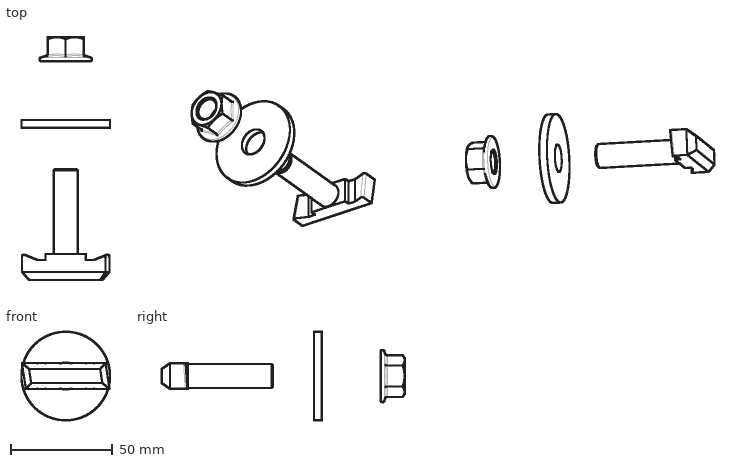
import cadquery as cq
import math


overall_length = 120.25

shank_diameter = 12.0
shank_length = 42.0
shank_tip_chamfer = 0.8
head_depth = 13.0
head_thickness = 12.7
head_length = 41.4
head_skew = 1.95
head_taper_depth = 4.0
head_taper_end_inset = 3.1
head_taper_side_inset = 2.8
shoulder_width = 20.0
notch_depth = 3.0
notch_floor_end = 14.0
wing_slope = 21.8
wing_tip_radius = 1.0

washer_diameter = 44.0
washer_hole_diameter = 13.5
washer_thickness = 4.0
washer_front = 62.25

nut_height = 12.0
nut_across_flats = 18.0
hexagon_sides = 6
nut_bore_diameter = 10.7
nut_bore_chamfer = 0.7
flange_diameter = 26.0
flange_rim_radius = 1.0
flange_rim_center = 0.97
flange_slope = 18.0
flange_root_radius = 0.8
nut_top_face_diameter = 17.7
nut_top_chamfer_angle = 33.0
nut_front = overall_length - head_depth - nut_height


def revolved(radius_and_y):
    """Revolve a closed (radius, y) outline about the Y axis."""
    outline = cq.Workplane("XY").polyline(radius_and_y).close()
    return outline.revolve(360, (0, 0), (0, 1))


def skewed_corners(half_length, half_thickness):
    """Corners of a parallelogram whose ends lean by the head's skew."""
    lean = half_thickness * head_skew / head_thickness
    return [
        (-half_length - lean, half_thickness),
        (half_length - lean, half_thickness),
        (half_length + lean, -half_thickness),
        (-half_length + lean, -half_thickness),
    ]


def make_head():
    half_length = head_length / 2
    half_thickness = head_thickness / 2
    straight_depth = head_depth - head_taper_depth
    slope = math.tan(math.radians(wing_slope))

    corners = skewed_corners(half_length, half_thickness)
    end_half_length = half_length - head_taper_end_inset
    end_corners = skewed_corners(end_half_length, half_thickness - head_taper_side_inset)
    tapered_end = (
        cq.Workplane("XZ", origin=(0, -straight_depth, 0))
        .polyline(corners)
        .close()
        .workplane(offset=head_taper_depth)
        .polyline(end_corners)
        .close()
        .loft(ruled=True)
    )
    blank_top = notch_depth
    block = (
        cq.Workplane("XZ", origin=(0, blank_top, 0))
        .polyline(corners)
        .close()
        .extrude(straight_depth + blank_top)
    )

    reach = head_length
    wing_rise = (reach - notch_floor_end) * slope
    half_shoulder = shoulder_width / 2
    profile = [
        (-reach, -straight_depth),
        (-reach, wing_rise - notch_depth),
        (-notch_floor_end, -notch_depth),
        (-half_shoulder, -notch_depth),
        (-half_shoulder, 0),
        (half_shoulder, 0),
        (half_shoulder, -notch_depth),
        (notch_floor_end, -notch_depth),
        (reach, wing_rise - notch_depth),
        (reach, -straight_depth),
    ]
    envelope = (
        cq.Workplane("XY")
        .polyline(profile)
        .close()
        .extrude(half_thickness, both=True)
    )
    block = block.intersect(envelope)

    for side in (-1, 1):
        tip = cq.selectors.NearestToPointSelector((side * half_length, 0, 0))
        block = block.edges(tip).fillet(wing_tip_radius)
    return block.union(tapered_end)


def make_bolt():
    radius = shank_diameter / 2
    root = -notch_depth
    shank = revolved([
        (0, root),
        (radius, root),
        (radius, shank_length - shank_tip_chamfer),
        (radius - shank_tip_chamfer, shank_length),
        (0, shank_length),
    ])
    return make_head().union(shank)


def make_washer():
    inner = washer_hole_diameter / 2
    outer = washer_diameter / 2
    back = washer_front + washer_thickness
    return revolved([(inner, washer_front), (outer, washer_front), (outer, back), (inner, back)])


def make_nut():
    back = nut_front + nut_height
    flat_radius = nut_across_flats / 2
    corner_radius = flat_radius / math.cos(math.pi / hexagon_sides)
    flange_radius = flange_diameter / 2

    top_face_radius = nut_top_face_diameter / 2
    top_drop = (corner_radius - top_face_radius) * math.tan(math.radians(nut_top_chamfer_angle))
    hexagon = (
        cq.Workplane("XZ", origin=(0, nut_front, 0))
        .polygon(hexagon_sides, 2 * corner_radius)
        .extrude(-nut_height)
        .rotate((0, 0, 0), (0, 1, 0), 180 / hexagon_sides)
    )
    turned = revolved([
        (0, nut_front),
        (corner_radius, nut_front),
        (corner_radius, back - top_drop),
        (top_face_radius, back),
        (0, back),
    ])
    hexagon = hexagon.intersect(turned)

    slope = math.radians(flange_slope)
    rim_center_radius = flange_radius - flange_rim_radius
    rim_center_y = nut_front + flange_rim_center
    seat_radius = rim_center_radius + math.sqrt(flange_rim_radius**2 - flange_rim_center**2)
    cone_radius = rim_center_radius + flange_rim_radius * math.sin(slope)
    cone_y = rim_center_y + flange_rim_radius * math.cos(slope)
    cone_peak = cone_y + cone_radius * math.tan(slope)
    flange = (
        cq.Workplane("XY")
        .moveTo(0, nut_front)
        .lineTo(seat_radius, nut_front)
        .threePointArc((flange_radius, rim_center_y), (cone_radius, cone_y))
        .lineTo(0, cone_peak)
        .close()
        .revolve(360, (0, 0), (0, 1))
    )

    nut = flange.union(hexagon)
    root_zone = cq.selectors.BoxSelector(
        (-corner_radius, cone_y, -corner_radius),
        (corner_radius, nut_front + nut_height / 2, corner_radius),
    )
    nut = nut.edges(root_zone).edges("%HYPERBOLA").fillet(flange_root_radius)

    bore_radius = nut_bore_diameter / 2
    mouth_radius = bore_radius + nut_bore_chamfer
    bore = revolved([
        (0, nut_front),
        (mouth_radius, nut_front),
        (bore_radius, nut_front + nut_bore_chamfer),
        (bore_radius, back - nut_bore_chamfer),
        (mouth_radius, back),
        (0, back),
    ])
    return nut.cut(bore)


bolt = make_bolt()
washer = make_washer()
nut = make_nut()

result = cq.Compound.makeCompound([bolt.val(), washer.val(), nut.val()])